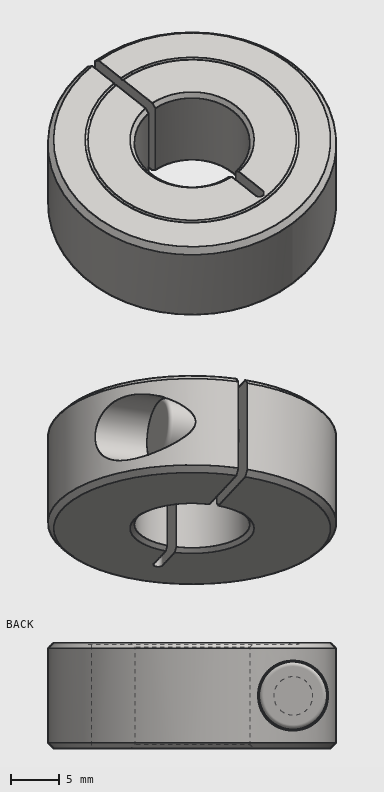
import cadquery as cq

outer_radius = 15.0
bore_radius = 6.0
width = 11.0
outer_chamfer = 0.6
bore_chamfer = 0.45

groove_radius = 10.98
groove_half_width = 0.15

slit_width = 1.0
slit_end_x = 10.5

screw_x = -10.5
shank_radius = 2.0
head_radius = 3.5
head_height = 4.0
head_top_y = 7.8
head_fillet = 0.45
screw_tip_y = -6.0
counterbore_radius = 3.65

seat_y = head_top_y - head_height
top_z = width / 2


def y_cylinder(radius, start_y, end_y):
    """Cylinder on the screw axis between two Y positions."""
    return (
        cq.Workplane("XZ", origin=(screw_x, start_y, 0))
        .circle(radius)
        .extrude(start_y - end_y)
    )


def make_ring():
    """Chamfered ring, revolved about Z from its cross-section."""
    return (
        cq.Workplane("XZ")
        .moveTo(bore_radius, -top_z + bore_chamfer)
        .lineTo(bore_radius + bore_chamfer, -top_z)
        .lineTo(outer_radius - outer_chamfer, -top_z)
        .lineTo(outer_radius, -top_z + outer_chamfer)
        .lineTo(outer_radius, top_z - outer_chamfer)
        .lineTo(outer_radius - outer_chamfer, top_z)
        .lineTo(bore_radius + bore_chamfer, top_z)
        .lineTo(bore_radius, top_z - bore_chamfer)
        .close()
        .revolve()
    )


def make_groove():
    """Torus whose lower half sinks into the top face."""
    return cq.Workplane(cq.Solid.makeTorus(groove_radius, groove_half_width, cq.Vector(0, 0, top_z)))


def make_slit():
    """Slot that opens through the -X side and ends in a full round past the bore."""
    half_width = slit_width / 2
    round_center_x = slit_end_x - half_width
    return (
        cq.Workplane("XY", origin=(0, 0, -top_z))
        .moveTo(-outer_radius, -half_width)
        .lineTo(round_center_x, -half_width)
        .threePointArc((slit_end_x, 0), (round_center_x, half_width))
        .lineTo(-outer_radius, half_width)
        .close()
        .extrude(width)
    )


def make_collar():
    """Split collar with a blind screw hole and a counterbore open to the +Y side."""
    return (
        make_ring()
        .cut(make_groove())
        .cut(make_slit())
        .cut(y_cylinder(shank_radius, screw_tip_y, seat_y))
        .cut(y_cylinder(counterbore_radius, seat_y, outer_radius))
    )


def make_screw():
    """Cap screw with a rounded head edge, seated on the counterbore floor."""
    head = y_cylinder(head_radius, seat_y, head_top_y).faces(">Y").edges().fillet(head_fillet)
    return head.union(y_cylinder(shank_radius, screw_tip_y, seat_y))


collar = make_collar()
screw = make_screw()

result = cq.Compound.makeCompound([collar.val(), screw.val()])